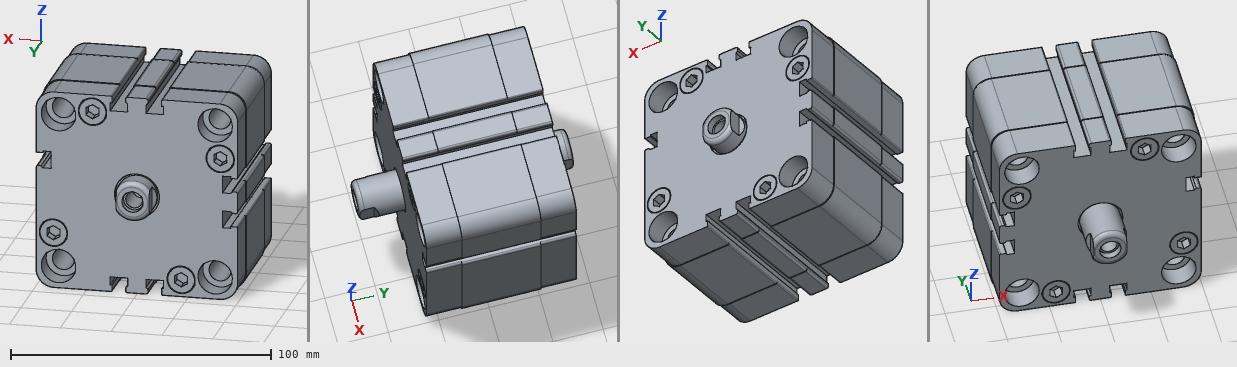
import cadquery as cq
import math


barrel_width = 80.0
cap_inset = 0.3
cap_width = barrel_width - 2 * cap_inset
corner_radius = 7.05
cap_length = 14.1
barrel_length = 31.4
body_length = barrel_length + 2 * cap_length

slot_width = 6.8
slot_depth = 6.3
lip_depth = 3.1
inner_lip = 0.8
outer_lip = 0.7
inner_edge_radius = 0.85
outer_edge_radius = 0.4
pair_slot_start = 3.65
single_slot_start = 8.6

mount_spacing = 61.6
mount_offset = mount_spacing / 2
mount_hole_diameter = 8.6
mount_bore_diameter = 13.5
mount_bore_depth = 8.6

screw_offset_far = 32.8
screw_offset_near = 17.4
screw_bore_diameter = 11.1
screw_head_diameter = 10.5
screw_gap_depth = 5.1
socket_width = 5.0
socket_depth = 4.25

rod_diameter = 16.0
rod_front_length = 17.7
rod_rear_length = 7.7
rod_edge_radius = 1.95
flats_width = 13.0
flats_length = 5.8
rod_hole_diameter = 6.6
rod_hole_mouth_diameter = 8.25
rod_hole_mouth_depth = 3.0
rod_hole_depth = 15.3
drill_tip_angle = 118.0
guide_diameter = 17.6
guide_depth = 1.0


def plane_at(y):
    """Workplane parallel to the end faces, with local axes X and Z."""
    return cq.Workplane("XZ", origin=(0, y, 0))


def along_y(sketch, length):
    """Extrude a sketch toward +Y."""
    return sketch.extrude(-length)


def cylinders(points, diameter, length):
    """Cylinders running from the front face toward +Y."""
    return along_y(plane_at(0).pushPoints(points).circle(diameter / 2), length)


def mirror_to_rear(shape):
    """Copy of a front-end feature at the rear face of the body."""
    return shape.mirror("XZ", (0, body_length / 2, 0))


def slot_cutter(start, half_width, y, length):
    """Slot in the top side; its edge nearest the centre line is at X = start."""
    floor = barrel_width / 2 - slot_depth
    lip = barrel_width / 2 - lip_depth
    end = start + slot_width
    mouth_in = start + inner_lip
    mouth_out = end - outer_lip
    top_in = mouth_in - inner_edge_radius
    top_out = mouth_out + outer_edge_radius
    outline = (
        plane_at(y)
        .moveTo(start, floor)
        .lineTo(start, lip)
        .lineTo(mouth_in, lip + inner_lip)
        .lineTo(mouth_in, half_width - inner_edge_radius)
        .tangentArcPoint((top_in, half_width), relative=False)
        .lineTo(top_in, barrel_width)
        .lineTo(top_out, barrel_width)
        .lineTo(top_out, half_width)
        .radiusArc((mouth_out, half_width - outer_edge_radius), -outer_edge_radius)
        .lineTo(mouth_out, lip)
        .lineTo(end, lip)
        .lineTo(end, floor)
        .close()
    )
    return along_y(outline, length)


def body_section(width, y, length):
    """Rounded square block with slot pairs on -X, +Z and -Z and one slot on +X."""
    block = along_y(plane_at(y).rect(width, width), length).edges("|Y").fillet(corner_radius)
    pair_slot = slot_cutter(pair_slot_start, width / 2, y, length)
    slot_pair = pair_slot.union(pair_slot.mirror("YZ"))
    for angle in (0, -90, 180):
        block = block.cut(slot_pair.rotate((0, 0, 0), (0, 1, 0), angle))
    single_slot = slot_cutter(single_slot_start, width / 2, y, length).mirror("YZ")
    return block.cut(single_slot.rotate((0, 0, 0), (0, 1, 0), 90))


def mount_points():
    """Corners of a square around the rod."""
    return [(x, z) for x in (-mount_offset, mount_offset) for z in (-mount_offset, mount_offset)]


def screw_points():
    """Four screws, each a quarter turn from the last."""
    near, far = screw_offset_near, screw_offset_far
    return [(near, far), (far, -near), (-near, -far), (-far, near)]


def front_end_cutter():
    """Counterbores, screw gaps, screw sockets and rod guide recess of the front cap."""
    bores = cylinders(mount_points(), mount_bore_diameter, mount_bore_depth)
    gaps = cylinders(screw_points(), screw_bore_diameter, screw_gap_depth)
    heads = cylinders(screw_points(), screw_head_diameter, screw_gap_depth)
    socket_radius = socket_width / math.sqrt(3)
    hexagon = [
        (socket_radius * math.sin(i * math.pi / 3), socket_radius * math.cos(i * math.pi / 3))
        for i in range(6)
    ]
    cutter = bores.union(gaps.cut(heads))
    for x, z in screw_points():
        corners = [(x + dx, z + dz) for dx, dz in hexagon]
        cutter = cutter.union(along_y(plane_at(0).polyline(corners).close(), socket_depth))
    return cutter.union(cylinders([(0, 0)], guide_diameter, guide_depth))


def rod_tip_cutter(tip_y):
    """Wrench flats with 45 degree run-outs, and the counterbored blind hole, at the front tip."""
    rod_radius = rod_diameter / 2
    flat = flats_width / 2
    flat_end = tip_y + flats_length
    clear = rod_diameter
    flat_points = [
        (flat, tip_y),
        (flat, flat_end),
        (clear, flat_end + clear - flat),
        (clear, tip_y),
    ]
    side = cq.Workplane("XY").polyline(flat_points).close().extrude(rod_radius, both=True)
    hole_radius = rod_hole_diameter / 2
    mouth_radius = rod_hole_mouth_diameter / 2
    cone_height = hole_radius / math.tan(math.radians(drill_tip_angle / 2))
    hole_points = [
        (0, tip_y),
        (mouth_radius, tip_y),
        (mouth_radius, tip_y + rod_hole_mouth_depth),
        (hole_radius, tip_y + rod_hole_mouth_depth),
        (hole_radius, tip_y + rod_hole_depth),
        (0, tip_y + rod_hole_depth + cone_height),
    ]
    hole = cq.Workplane("XY").polyline(hole_points).close().revolve(360, (0, 0), (0, 1))
    return side.union(side.mirror("YZ")).union(hole)


def piston_rod():
    """Rod through the whole body, with rounded and machined tips at both ends."""
    length = rod_front_length + body_length + rod_rear_length
    rod = along_y(plane_at(-rod_front_length).circle(rod_diameter / 2), length)
    rod = rod.faces("<Y or >Y").edges().fillet(rod_edge_radius)
    rod = rod.cut(rod_tip_cutter(-rod_front_length))
    return rod.cut(mirror_to_rear(rod_tip_cutter(-rod_rear_length)))


body = body_section(cap_width, 0, cap_length)
body = body.union(body_section(barrel_width, cap_length, barrel_length))
body = body.union(body_section(cap_width, cap_length + barrel_length, cap_length))

end_cutter = front_end_cutter()
body = body.cut(end_cutter).cut(mirror_to_rear(end_cutter))
body = body.cut(cylinders(mount_points(), mount_hole_diameter, body_length))

rod_bore = cylinders([(0, 0)], rod_diameter, body_length)
result = body.cut(rod_bore).union(piston_rod())